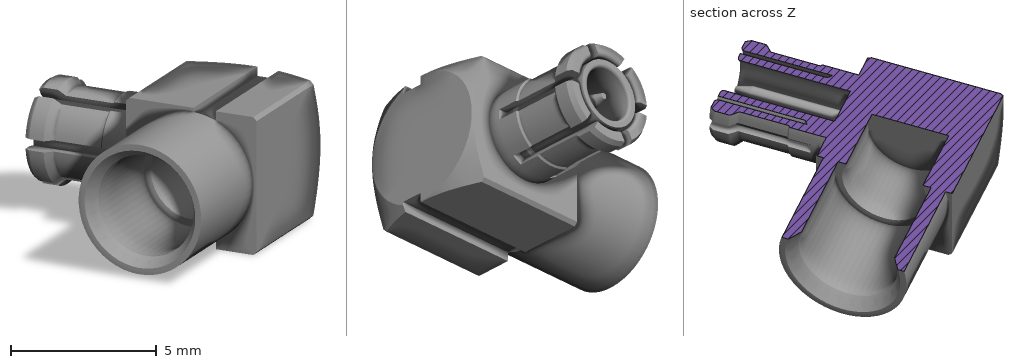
import cadquery as cq


HOUSING_SIZE = 5.0
HOUSING_HALF = HOUSING_SIZE / 2
HOUSING_EDGE_CHAMFER = 0.13
REAR_CONE_RADIUS = 2.47
REAR_CONE_ANGLE = 30.0
GROOVE_WIDTH = 0.86
GROOVE_START_X = 0.08
GROOVE_DEPTH = 0.35

FERRULE_LENGTH = 4.0
FERRULE_RADIUS = 2.35
FERRULE_MOUTH_RADIUS = 2.12
FERRULE_BORE_RADIUS = 1.82
FERRULE_MOUTH_DEPTH = 0.5
CABLE_HOLE_RADIUS = 1.55
MOUTH_Y = -HOUSING_HALF - FERRULE_LENGTH

OVERALL_LENGTH = 9.2
TIP_X = HOUSING_HALF - OVERALL_LENGTH
CONTACT_RADIUS = 1.895
CONTACT_TIP_CHAMFER_LENGTH = 0.19
CONTACT_TIP_CHAMFER_HEIGHT = 0.11
SNAP_RING_LENGTH = 0.745
SNAP_TAPER_LENGTH = 0.26
NECK_RADIUS = 1.65
NECK_END = 2.815
COLLAR_RADIUS = 1.71
COLLAR_CHAMFER = COLLAR_RADIUS - NECK_RADIUS
CONTACT_INNER_RADIUS = 1.38
CONTACT_LIP_FILLET = 0.14
SLOT_COUNT = 6
SLOT_WIDTH = 0.405
SLOT_LENGTH = 3.7

SLEEVE_SETBACK = 0.05
SLEEVE_RADIUS = 1.26
SLEEVE_BORE_RADIUS = 0.98
SLEEVE_BORE_FILLET = 0.11
SLEEVE_ROOT_RADIUS = CONTACT_INNER_RADIUS
SLEEVE_ROOT_START = 3.24
PIN_RADIUS = 0.27
PIN_TIP_RADIUS = 0.11
PIN_SETBACK = 0.285
PIN_POINT_LENGTH = 0.6


def along_y(y_start, length, radius):
    """Cylinder on the ferrule axis, running towards +Y."""
    return cq.Workplane("XZ", origin=(0, y_start, 0)).circle(radius).extrude(-length)


def revolve_on_x(profile):
    """Turn a profile of (x, radius) drawn in the XY plane about the plug axis."""
    return profile.close().revolve(360, (0, 0, 0), (1, 0, 0))


def make_housing():
    cube = cq.Workplane("XY").box(HOUSING_SIZE, HOUSING_SIZE, HOUSING_SIZE)
    cube = cube.edges("|Y").chamfer(HOUSING_EDGE_CHAMFER)

    blank = (
        cq.Workplane("XZ", origin=(0, HOUSING_HALF, 0))
        .circle(REAR_CONE_RADIUS)
        .extrude(HOUSING_SIZE, taper=REAR_CONE_ANGLE - 90)
    )
    cube = cube.intersect(blank)

    groove = cq.Workplane("XY").box(
        GROOVE_WIDTH, HOUSING_SIZE, GROOVE_DEPTH, centered=(False, True, False)
    )
    floor = HOUSING_HALF - GROOVE_DEPTH
    for z_bottom in (floor, -HOUSING_HALF):
        cube = cube.cut(groove.translate((GROOVE_START_X, 0, z_bottom)))
    return cube


def make_ferrule():
    return along_y(MOUTH_Y, FERRULE_LENGTH, FERRULE_RADIUS)


def make_cable_cavity():
    bore = along_y(MOUTH_Y, FERRULE_LENGTH, FERRULE_BORE_RADIUS)
    hole = along_y(MOUTH_Y, FERRULE_LENGTH + HOUSING_HALF, CABLE_HOLE_RADIUS)
    mouth = (
        cq.Workplane("XY")
        .moveTo(0, MOUTH_Y)
        .lineTo(FERRULE_MOUTH_RADIUS, MOUTH_Y)
        .lineTo(FERRULE_BORE_RADIUS, MOUTH_Y + FERRULE_MOUTH_DEPTH)
        .lineTo(0, MOUTH_Y + FERRULE_MOUTH_DEPTH)
        .close()
        .revolve(360, (0, 0, 0), (0, 1, 0))
    )
    return bore.union(hole).union(mouth)


def make_outer_contact():
    land_end = TIP_X + SNAP_RING_LENGTH
    neck_end = TIP_X + NECK_END
    slot_end = TIP_X + SLOT_LENGTH
    contact = revolve_on_x(
        cq.Workplane("XY")
        .moveTo(TIP_X, CONTACT_INNER_RADIUS)
        .lineTo(TIP_X, CONTACT_RADIUS - CONTACT_TIP_CHAMFER_HEIGHT)
        .lineTo(TIP_X + CONTACT_TIP_CHAMFER_LENGTH, CONTACT_RADIUS)
        .lineTo(land_end, CONTACT_RADIUS)
        .lineTo(land_end + SNAP_TAPER_LENGTH, NECK_RADIUS)
        .lineTo(neck_end, NECK_RADIUS)
        .lineTo(neck_end + COLLAR_CHAMFER, COLLAR_RADIUS)
        .lineTo(-HOUSING_HALF, COLLAR_RADIUS)
        .lineTo(-HOUSING_HALF, SLEEVE_BORE_RADIUS)
        .lineTo(slot_end, SLEEVE_BORE_RADIUS)
        .lineTo(slot_end, CONTACT_INNER_RADIUS)
    )
    lip_edge = cq.selectors.RadiusNthSelector(0)
    contact = contact.faces("<X").edges(lip_edge).fillet(CONTACT_LIP_FILLET)

    slot = cq.Workplane("XY").box(
        SLOT_LENGTH, 2 * CONTACT_RADIUS, SLOT_WIDTH, centered=(False, False, True)
    ).translate((TIP_X, 0, 0))
    for index in range(SLOT_COUNT):
        angle = index * 360 / SLOT_COUNT
        contact = contact.cut(slot.rotate((0, 0, 0), (1, 0, 0), angle))
    return contact


def make_sleeve():
    tip = TIP_X + SLEEVE_SETBACK
    shoulder = TIP_X + SLEEVE_ROOT_START
    shoulder_height = SLEEVE_ROOT_RADIUS - SLEEVE_RADIUS
    sleeve = revolve_on_x(
        cq.Workplane("XY")
        .moveTo(tip, SLEEVE_BORE_RADIUS)
        .lineTo(tip, SLEEVE_RADIUS)
        .lineTo(shoulder, SLEEVE_RADIUS)
        .lineTo(shoulder + shoulder_height, SLEEVE_ROOT_RADIUS)
        .lineTo(-HOUSING_HALF, SLEEVE_ROOT_RADIUS)
        .lineTo(-HOUSING_HALF, SLEEVE_BORE_RADIUS)
    )
    mouth_edge = cq.selectors.RadiusNthSelector(0)
    return sleeve.faces("<X").edges(mouth_edge).fillet(SLEEVE_BORE_FILLET)


def make_pin():
    tip = TIP_X + PIN_SETBACK
    return revolve_on_x(
        cq.Workplane("XY")
        .moveTo(tip, 0)
        .lineTo(tip, PIN_TIP_RADIUS)
        .lineTo(tip + PIN_POINT_LENGTH, PIN_RADIUS)
        .lineTo(-HOUSING_HALF, PIN_RADIUS)
        .lineTo(-HOUSING_HALF, 0)
    )


result = (
    make_housing()
    .union(make_ferrule())
    .cut(make_cable_cavity())
    .union(make_outer_contact())
    .union(make_sleeve())
    .union(make_pin())
)